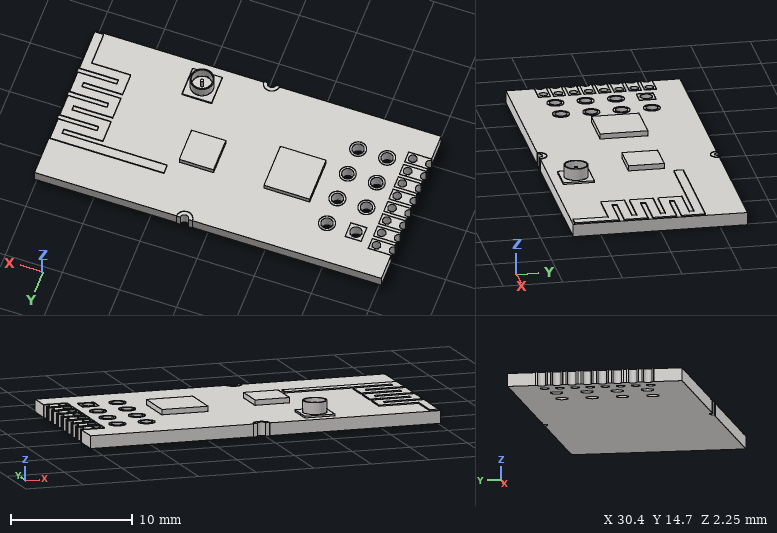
import cadquery as cq

OVERALL_LENGTH = 30.44
OVERALL_WIDTH = 14.7
BOARD_THICKNESS = 1.1
COPPER_THICKNESS = 0.04
BOARD_WIDTH = OVERALL_WIDTH - 2 * COPPER_THICKNESS
BOARD_LENGTH = OVERALL_LENGTH - COPPER_THICKNESS
PAD_FACE_X = -OVERALL_LENGTH / 2
BOARD_LEFT_X = PAD_FACE_X + COPPER_THICKNESS
BOARD_RIGHT_X = BOARD_LEFT_X + BOARD_LENGTH

EDGE_PAD_COUNT = 8
EDGE_PAD_PITCH = 1.27
EDGE_PAD_WIDTH = 1.0
EDGE_PAD_LENGTH = 2.04
SMALL_HOLE_DIAMETER = 0.7
EDGE_VIA_SPACING = 1.5

HEADER_PITCH = 2.54
HEADER_COLUMNS = 2
HEADER_ROWS = 4
HEADER_FIRST_X = -11.7
HEADER_HOLE_DIAMETER = 1.0
LAND_DIAMETER = 1.4

REAR_NOTCH_X = 2.06
FRONT_NOTCH_X = -0.33

CHIP_HEIGHT = 0.45
CHIP_TOP_Y = 2.35
LARGE_CHIP_SIZE = 4.0
LARGE_CHIP_X = -5.12
SMALL_CHIP_SIZE = 3.0
SMALL_CHIP_X = 2.8

CONNECTOR_X = 5.0
CONNECTOR_Y = -5.18
CONNECTOR_TOP_Z = 2.25
CONNECTOR_BASE_SIZE = 2.6
CONNECTOR_BASE_HEIGHT = 0.15
SHELL_OUTER_DIAMETER = 2.0
SHELL_INNER_DIAMETER = 1.8
PIN_DIAMETER = 0.26
PIN_HEIGHT = 0.8

ANTENNA_THICKNESS = 0.1
TRACE_WIDTH = 0.8
TRACE_GAP = 0.4
TRACE_PITCH = TRACE_WIDTH + TRACE_GAP
ANTENNA_RIGHT_X = 15.12
ANTENNA_TOP_Y = 3.8
ANTENNA_BOTTOM_Y = -7.15
FEED_LENGTH = 10.0
MEANDER_LENGTH = 4.22
MEANDER_ROWS = 7


def box(x_min, x_max, y_min, y_max, z_min, height):
    """Axis-aligned block from its plan limits, base level and height."""
    return cq.Workplane("XY").box(
        x_max - x_min, y_max - y_min, height, centered=False
    ).translate((x_min, y_min, z_min))


def square_block(x, y, size, z_min, height):
    """Square block centred at (x, y)."""
    half = size / 2
    return box(x - half, x + half, y - half, y + half, z_min, height)


def cylinder(x, y, diameter, z_min, height):
    """Vertical cylinder centred at (x, y)."""
    return cq.Workplane("XY").circle(diameter / 2).extrude(height).translate((x, y, z_min))


def through_hole(x, y, diameter):
    """Cutter that passes through the board and its copper."""
    return cylinder(x, y, diameter, 0, BOARD_THICKNESS + COPPER_THICKNESS)


def edge_pad_centres():
    """Y positions of the edge pads, symmetric about the board's centre line."""
    first = -(EDGE_PAD_COUNT - 1) * EDGE_PAD_PITCH / 2
    return [first + i * EDGE_PAD_PITCH for i in range(EDGE_PAD_COUNT)]


def add_edge_pads(body):
    """Pads wrap the left edge; each has a half-hole at the edge and a via further in."""
    for y in edge_pad_centres():
        pad = box(
            PAD_FACE_X, PAD_FACE_X + EDGE_PAD_LENGTH,
            y - EDGE_PAD_WIDTH / 2, y + EDGE_PAD_WIDTH / 2,
            0, BOARD_THICKNESS + COPPER_THICKNESS,
        )
        body = body.union(pad)
        for x in (PAD_FACE_X, PAD_FACE_X + EDGE_VIA_SPACING):
            body = body.cut(through_hole(x, y, SMALL_HOLE_DIAMETER))
    return body


def add_header(body):
    """Two columns of lands with through holes; the upper left land is square."""
    top_y = (HEADER_ROWS - 1) * HEADER_PITCH / 2
    for column in range(HEADER_COLUMNS):
        for row in range(HEADER_ROWS):
            x = HEADER_FIRST_X + column * HEADER_PITCH
            y = top_y - row * HEADER_PITCH
            if column == 0 and row == 0:
                land = square_block(x, y, LAND_DIAMETER, BOARD_THICKNESS, COPPER_THICKNESS)
            else:
                land = cylinder(x, y, LAND_DIAMETER, BOARD_THICKNESS, COPPER_THICKNESS)
            body = body.union(land).cut(through_hole(x, y, HEADER_HOLE_DIAMETER))
    return body


def add_edge_notches(body):
    """One half-hole on each long edge, in half-round plating that stands proud of the board."""
    half_width = OVERALL_WIDTH / 2
    plated_height = BOARD_THICKNESS + COPPER_THICKNESS
    envelope = box(BOARD_LEFT_X, BOARD_RIGHT_X, -half_width, half_width, 0, plated_height)
    for x, y in ((REAR_NOTCH_X, half_width), (FRONT_NOTCH_X, -half_width)):
        plating = cylinder(x, y, LAND_DIAMETER, 0, plated_height).intersect(envelope)
        body = body.union(plating).cut(through_hole(x, y, SMALL_HOLE_DIAMETER))
    return body


def add_chips(body):
    """Two square chip packages aligned on their upper edges."""
    for x, size in ((LARGE_CHIP_X, LARGE_CHIP_SIZE), (SMALL_CHIP_X, SMALL_CHIP_SIZE)):
        y = CHIP_TOP_Y - size / 2
        body = body.union(square_block(x, y, size, BOARD_THICKNESS, CHIP_HEIGHT))
    return body


def add_connector(body):
    """Square base carrying a thin round shell with a centre pin."""
    base_top = BOARD_THICKNESS + CONNECTOR_BASE_HEIGHT
    shell_height = CONNECTOR_TOP_Z - base_top
    at = (CONNECTOR_X, CONNECTOR_Y)
    base = square_block(*at, CONNECTOR_BASE_SIZE, BOARD_THICKNESS, CONNECTOR_BASE_HEIGHT)
    shell = cylinder(*at, SHELL_OUTER_DIAMETER, base_top, shell_height)
    bore = cylinder(*at, SHELL_INNER_DIAMETER, base_top, shell_height)
    pin = cylinder(*at, PIN_DIAMETER, base_top, PIN_HEIGHT)
    return body.union(base).union(shell.cut(bore)).union(pin)


def add_antenna(body):
    """Meandering trace: long feed on top, folded rows below and a tail down the right side."""
    def trace(x_min, x_max, y_min, y_max):
        return box(x_min, x_max, y_min, y_max, BOARD_THICKNESS, ANTENNA_THICKNESS)

    right = ANTENNA_RIGHT_X
    meander_left = right - MEANDER_LENGTH
    for row in range(MEANDER_ROWS):
        row_top = ANTENNA_TOP_Y - row * TRACE_PITCH
        row_left = right - FEED_LENGTH if row == 0 else meander_left
        body = body.union(trace(row_left, right, row_top - TRACE_WIDTH, row_top))
        if row < MEANDER_ROWS - 1:
            link_left = right - TRACE_WIDTH if row % 2 == 0 else meander_left
            link = trace(link_left, link_left + TRACE_WIDTH, row_top - TRACE_PITCH, row_top)
            body = body.union(link)
    return body.union(trace(right - TRACE_WIDTH, right, ANTENNA_BOTTOM_Y, row_top))


result = box(BOARD_LEFT_X, BOARD_RIGHT_X, -BOARD_WIDTH / 2, BOARD_WIDTH / 2, 0, BOARD_THICKNESS)
result = add_edge_pads(result)
result = add_header(result)
result = add_edge_notches(result)
result = add_chips(result)
result = add_connector(result)
result = add_antenna(result)